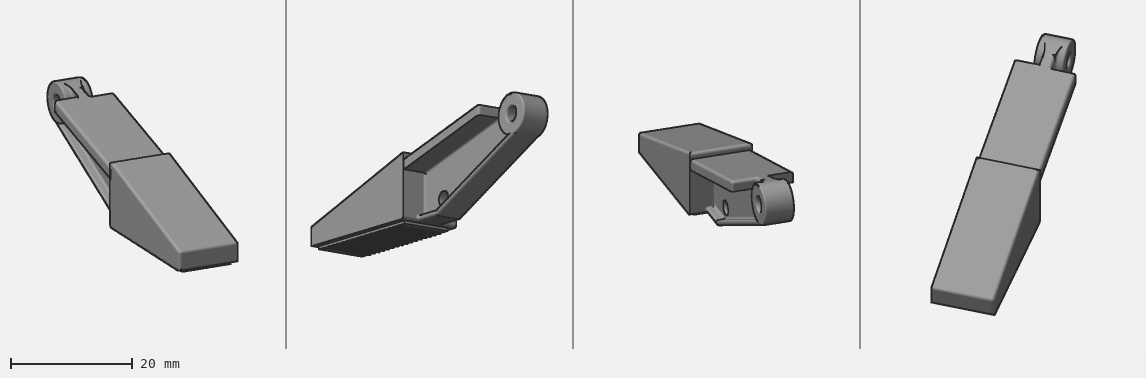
import cadquery as cq
import math


BODY_START = 25.4
BODY_END = 50.8
BODY_WIDTH = 10.92
BODY_START_HEIGHT = 11.5
BODY_END_HEIGHT = 3.4
BODY_ROUND = 0.5

PAD_INSET = 1.016
PAD_DEPTH = 0.51
TOOTH_COUNT = 16
TOOTH_PITCH = 1.27
TOOTH_WIDTH = 0.55
TOOTH_HEIGHT = 0.154

HUB_RADIUS = 3.556
HUB_WIDTH = 5.08
HUB_ROUND = 0.3
HUB_BORE = 2.54
BORE_ROUND = 0.38
HUB_FILLET = 0.45

PLATE_ANGLE = 15
FLANGE_ANGLE = 25
FLANGE_BEND_X = 20.32
PLATE_START = 5.08
PLATE_WIDTH = 10.67
PLATE_THICKNESS = 1.9
PLATE_ROUND = 0.5
WEB_THICKNESS = 2.032
WEB_FILLET = 0.4
NOTCH_CORNER_ROUND = 0.3
FLANGE_THICKNESS = 0.95
FLANGE_LOWER_ROUND = 0.5
FLANGE_UPPER_ROUND = 0.33
FLANGE_END_FILLET = 0.33

CROSS_HOLE = 2.54
CROSS_HOLE_X = 20.32
CROSS_HOLE_Z = 3.05

PLATE_TAN = math.tan(math.radians(PLATE_ANGLE))
PLATE_COS = math.cos(math.radians(PLATE_ANGLE))
FLANGE_TAN = math.tan(math.radians(FLANGE_ANGLE))
FLANGE_COS = math.cos(math.radians(FLANGE_ANGLE))
FLANGE_SIN = math.sin(math.radians(FLANGE_ANGLE))
HUB_Z = FLANGE_BEND_X * FLANGE_TAN + HUB_RADIUS / FLANGE_COS
HUB_TOP_TANGENT_X = HUB_RADIUS * math.sin(math.radians(PLATE_ANGLE))
HUB_LOW_TANGENT = (-HUB_RADIUS * FLANGE_SIN, HUB_Z - HUB_RADIUS * FLANGE_COS)
HALF_WEB = WEB_THICKNESS / 2
TOLERANCE = 0.01


def plate_top(x):
    """Height of the arm's upper plane, which is tangent to the hub."""
    return HUB_Z + HUB_RADIUS / PLATE_COS - x * PLATE_TAN


def plate_bottom(x):
    return plate_top(x) - PLATE_THICKNESS / PLATE_COS


def flange_outside(x):
    """Height of the underside of the arm."""
    return max(0, (FLANGE_BEND_X - x) * FLANGE_TAN)


def flange_inside(x):
    """Height of the flange surface that faces the plate."""
    return max(FLANGE_THICKNESS, (FLANGE_BEND_X - x) * FLANGE_TAN + FLANGE_THICKNESS / FLANGE_COS)


def near(value, target):
    return abs(value - target) < TOLERANCE


def edges_where(part, test):
    """All edges of the part whose centre point passes the test."""
    return [edge for edge in part.edges().vals() if test(edge.Center())]


def side_prism(points, width):
    """Extrude an XZ outline to the given width, centred on y = 0."""
    return cq.Workplane("XZ").polyline(points).close().extrude(width / 2, both=True)


def cross_cylinder(x, z, radius, width):
    return cq.Workplane("XZ").center(x, z).circle(radius).extrude(width / 2, both=True)


def make_body():
    body = side_prism(
        [
            (BODY_START, 0),
            (BODY_END, 0),
            (BODY_END, BODY_END_HEIGHT),
            (BODY_START, BODY_START_HEIGHT),
        ],
        BODY_WIDTH,
    )
    end_edges = body.faces(">X").edges().vals()
    top_edges = body.faces(">Z").edges("not >X").vals()
    start_bottom = body.faces("<X").edges("<Z").vals()
    return body.newObject(end_edges + top_edges + start_bottom).fillet(BODY_ROUND)


def make_pad():
    middle = (BODY_START + BODY_END) / 2
    length = BODY_END - BODY_START - 2 * PAD_INSET
    width = BODY_WIDTH - 2 * PAD_INSET
    pad = cq.Workplane("XY").center(middle, 0).rect(length, width).extrude(-PAD_DEPTH)
    first_tooth = middle - TOOTH_PITCH * (TOOTH_COUNT - 1) / 2
    for index in range(TOOTH_COUNT):
        x = first_tooth + index * TOOTH_PITCH
        tooth = (
            cq.Workplane("XZ")
            .moveTo(x - TOOTH_WIDTH / 2, -PAD_DEPTH)
            .threePointArc((x, -PAD_DEPTH - TOOTH_HEIGHT), (x + TOOTH_WIDTH / 2, -PAD_DEPTH))
            .close()
            .extrude(width / 2, both=True)
        )
        pad = pad.union(tooth)
    return pad


def make_hub():
    hub = cross_cylinder(0, HUB_Z, HUB_RADIUS, HUB_WIDTH)
    return hub.edges().fillet(HUB_ROUND)


def make_web():
    return side_prism(arm_outline(), WEB_THICKNESS)


def arm_outline():
    return [
        HUB_LOW_TANGENT,
        (HUB_TOP_TANGENT_X, plate_top(HUB_TOP_TANGENT_X)),
        (BODY_START, plate_top(BODY_START)),
        (BODY_START, 0),
        (FLANGE_BEND_X, 0),
    ]


def make_plate():
    return side_prism(
        [
            (PLATE_START, plate_bottom(PLATE_START)),
            (BODY_START, plate_bottom(BODY_START)),
            (BODY_START, plate_top(BODY_START)),
            (PLATE_START, plate_top(PLATE_START)),
        ],
        PLATE_WIDTH,
    )


def make_plate_and_web():
    """Join plate and web; the +Y side is rounded all the way, the -Y side only along its long edge."""
    joined = make_plate().union(make_web())

    def is_notch_corner(point):
        at_web = near(point.x, PLATE_START) and near(point.y, HALF_WEB)
        return at_web and point.z > plate_bottom(PLATE_START)

    joined = joined.newObject(edges_where(joined, is_notch_corner)).fillet(NOTCH_CORNER_ROUND)

    def is_rounded(point):
        on_top = near(point.z, plate_top(point.x))
        inside_arm = HUB_TOP_TANGENT_X + TOLERANCE < point.x < BODY_START - TOLERANCE
        far_top = on_top and inside_arm and point.y > TOLERANCE
        near_top = on_top and near(point.y, -PLATE_WIDTH / 2)
        far_corner = near(point.x, PLATE_START) and near(point.y, PLATE_WIDTH / 2)
        return far_top or near_top or far_corner

    return joined.newObject(edges_where(joined, is_rounded)).fillet(PLATE_ROUND)


def make_flange():
    inner_bend_x = FLANGE_BEND_X + FLANGE_THICKNESS * math.tan(math.radians(FLANGE_ANGLE / 2))
    inner_start = (
        HUB_LOW_TANGENT[0] + FLANGE_THICKNESS * FLANGE_SIN,
        HUB_LOW_TANGENT[1] + FLANGE_THICKNESS * FLANGE_COS,
    )
    flange_end = BODY_START + BODY_ROUND
    flange = side_prism(
        [
            HUB_LOW_TANGENT,
            (FLANGE_BEND_X, 0),
            (flange_end, 0),
            (flange_end, FLANGE_THICKNESS),
            (inner_bend_x, FLANGE_THICKNESS),
            inner_start,
        ],
        HUB_WIDTH,
    )

    def is_outer_edge(point):
        return near(abs(point.y), HUB_WIDTH / 2) and near(point.z, flange_outside(point.x))

    def is_inner_edge(point):
        return near(abs(point.y), HUB_WIDTH / 2) and near(point.z, flange_inside(point.x))

    flange = flange.newObject(edges_where(flange, is_outer_edge)).fillet(FLANGE_LOWER_ROUND)
    return flange.newObject(edges_where(flange, is_inner_edge)).fillet(FLANGE_UPPER_ROUND)


def fillet_web(part):
    """Fillet the web into the plate, the body and the flange on both sides."""

    def is_web_root(point):
        on_web = near(abs(point.y), HALF_WEB)
        at_plate = near(point.z, plate_bottom(point.x))
        at_body = near(point.x, BODY_START)
        at_flange = near(point.z, flange_inside(point.x))
        return on_web and (at_plate or at_body or at_flange)

    return part.newObject(edges_where(part, is_web_root)).fillet(WEB_FILLET)


def make_hub_collar():
    """Concave fillets between the hub and both sides of the web, trimmed to the arm outline."""
    outer = HUB_RADIUS + HUB_FILLET
    crest = HALF_WEB + HUB_FILLET
    sag = HUB_FILLET * (1 - math.sqrt(0.5))
    collar = (
        cq.Workplane("XY")
        .moveTo(0, -crest)
        .lineTo(-HUB_RADIUS, -crest)
        .threePointArc((-HUB_RADIUS - sag, -HALF_WEB - sag), (-outer, -HALF_WEB))
        .lineTo(-outer, HALF_WEB)
        .threePointArc((-HUB_RADIUS - sag, HALF_WEB + sag), (-HUB_RADIUS, crest))
        .lineTo(0, crest)
        .close()
        .revolve(360, (0, 0, 0), (0, 1, 0))
        .translate((0, 0, HUB_Z))
    )
    return collar.intersect(side_prism(arm_outline(), HUB_WIDTH))


def cut_holes(part):
    part = part.cut(cross_cylinder(CROSS_HOLE_X, CROSS_HOLE_Z, CROSS_HOLE / 2, HUB_WIDTH))
    part = part.cut(cross_cylinder(0, HUB_Z, HUB_BORE / 2, HUB_WIDTH))

    def is_bore_rim(edge):
        on_face = near(abs(edge.Center().y), HUB_WIDTH / 2)
        return on_face and near(edge.radius(), HUB_BORE / 2)

    rims = [edge for edge in part.edges("%CIRCLE").vals() if is_bore_rim(edge)]
    return part.newObject(rims).fillet(BORE_ROUND)


def fillet_flange_end(part):
    """Fillet both sides of the flange into the starting face of the body and its rounded lower edge."""

    def is_flange_end(point):
        in_length = BODY_START - TOLERANCE < point.x < BODY_START + BODY_ROUND - TOLERANCE
        in_width = HUB_WIDTH / 2 - FLANGE_LOWER_ROUND < abs(point.y) < HUB_WIDTH / 2 + TOLERANCE
        in_height = TOLERANCE < point.z < FLANGE_THICKNESS - TOLERANCE
        return in_length and in_width and in_height

    return part.newObject(edges_where(part, is_flange_end)).fillet(FLANGE_END_FILLET)


arm = make_plate_and_web().union(make_flange()).union(make_hub()).union(make_body())
arm = fillet_flange_end(fillet_web(arm))
result = cut_holes(arm.union(make_hub_collar()).union(make_pad()))